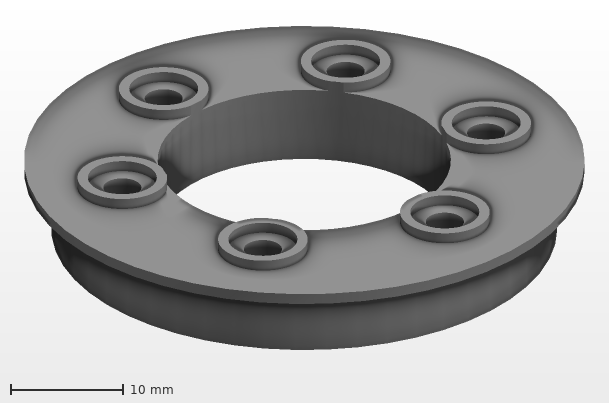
import cadquery as cq

flange_diameter = 50.0
flange_thickness = 1.0
body_diameter = 45.1
body_height = 6.0
bore_diameter = 26.15

boss_count = 6
boss_circle_radius = 17.0
boss_diameter = 8.0
boss_height = 1.0
recess_diameter = 6.15
recess_depth = boss_height

bushing_diameter = 4.9
bushing_thickness = 1.0
hole_diameter = 3.4

flange_top = body_height + flange_thickness
boss_top = flange_top + boss_height
recess_floor = boss_top - recess_depth
bushing_bottom = recess_floor - bushing_thickness


def cylinder(diameter, bottom, top):
    """Cylinder on the central axis between two levels."""
    return cq.Workplane("XY").workplane(offset=bottom).circle(diameter / 2).extrude(top - bottom)


def cylinders_at_bosses(diameter, bottom, top):
    """One cylinder at every boss position, between two levels."""
    return (
        cq.Workplane("XY")
        .workplane(offset=bottom)
        .polarArray(boss_circle_radius, 0, 360, boss_count)
        .circle(diameter / 2)
        .extrude(top - bottom)
    )


def make_housing():
    """Flanged ring with recessed bosses; the bore also trims the boss sides."""
    body = cylinder(body_diameter, 0, body_height)
    flange = cylinder(flange_diameter, body_height, flange_top)
    bosses = cylinders_at_bosses(boss_diameter, flange_top, boss_top)
    bore = cylinder(bore_diameter, 0, boss_top)
    recesses = cylinders_at_bosses(recess_diameter, recess_floor, boss_top)
    bushing_seats = cylinders_at_bosses(bushing_diameter, bushing_bottom, recess_floor)
    through_holes = cylinders_at_bosses(hole_diameter, 0, bushing_bottom)
    blank = body.union(flange).union(bosses)
    return blank.cut(bore).cut(recesses).cut(bushing_seats).cut(through_holes)


def make_bushing():
    """Plain ring on the central axis, at its seated height."""
    outside = cylinder(bushing_diameter, bushing_bottom, recess_floor)
    hole = cylinder(hole_diameter, bushing_bottom, recess_floor)
    return outside.cut(hole)


housing = make_housing()

bushings = []
for index in range(boss_count):
    angle = index * 360 / boss_count
    bushing = make_bushing().translate((boss_circle_radius, 0, 0)).rotate((0, 0, 0), (0, 0, 1), angle)
    bushings.append(bushing.val())

result = cq.Compound.makeCompound([housing.val(), *bushings])